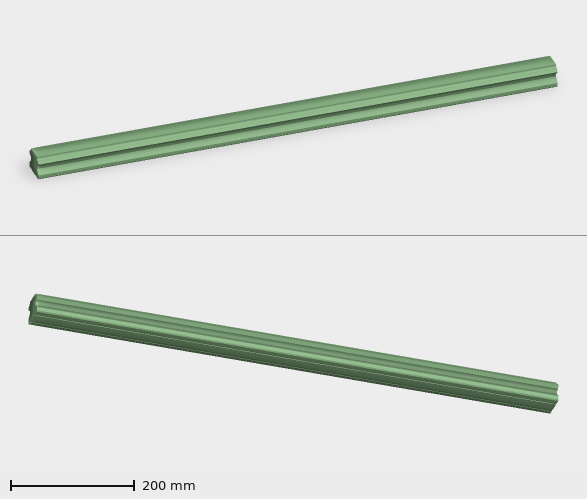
import cadquery as cq

length = 890.0
width = 45.0
height = 38.0

top_width = 29.0
shoulder_width = 38.0
top_edge_height = 36.5
shoulder_height = 33.0
tip_height = 28.5
head_underside_height = 24.0
raceway_sag = 1.1

neck_width = 29.0
neck_top_height = 20.5
neck_bottom_height = 16.0

foot_edge_height = 8.0
foot_chamfer = 2.0

groove_spacing = 23.0
groove_width = 5.0
groove_depth = 1.0


def half_rail():
    """Right half of the rail section, extruded along Y."""
    section = (
        cq.Workplane("XZ")
        .lineTo(width / 2 - foot_chamfer, 0)
        .lineTo(width / 2, foot_chamfer)
        .lineTo(width / 2, foot_edge_height)
        .lineTo(neck_width / 2, neck_bottom_height)
        .lineTo(neck_width / 2, neck_top_height)
        .sagittaArc((shoulder_width / 2, head_underside_height), raceway_sag)
        .lineTo(width / 2, tip_height)
        .lineTo(shoulder_width / 2, shoulder_height)
        .sagittaArc((top_width / 2, top_edge_height), raceway_sag)
        .lineTo(top_width / 2, height)
        .lineTo(0, height)
        .close()
    )
    return section.extrude(length / 2, both=True)


def bottom_groove(x):
    """Shallow rectangular groove along the whole rail."""
    groove = cq.Workplane("XY").box(groove_width, length, groove_depth, centered=(True, True, False))
    return groove.translate((x, 0, 0))


right_half = half_rail()
result = right_half.union(right_half.mirror("YZ"))
for side in (-1, 1):
    result = result.cut(bottom_groove(side * groove_spacing / 2))